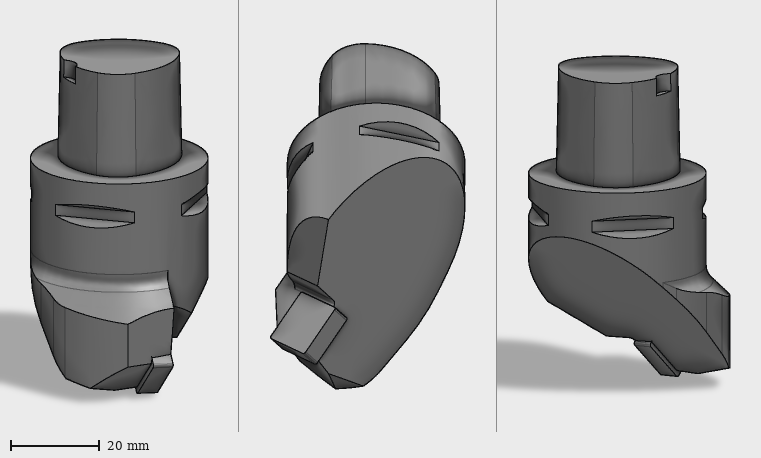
import cadquery as cq
import math

SHANK_HEIGHT = 24.0
LOBE_RADIUS = 14.7
FLAT_RADIUS = 13.2
LOBE_CENTRE = 5.65
SHANK_TAPER = 0.5
NOTCH_RADIUS = 3.65
NOTCH_HEIGHT = 4.0
NOTCH_INNER_Y = -11.15

FLANGE_RADIUS = 20.0
GROOVE_FLOOR_RADIUS = 17.7
GROOVE_MID_Z = -7.95
GROOVE_FLOOR_WIDTH = 2.5
GROOVE_MOUTH_WIDTH = 5.2

NECK_Z = -21.3
NECK_FILLET = 5.2
HEAD_REACH = 25.1
HEAD_FRONT_Y = -21.7
LEAVE_ANGLE = 25.5
LEAVE_LINE_END_X = -5.35
FRONT_START_X = 3.7
FRONT_END_X = 9.8
HEAD_ARC_JOINT = (13.9, -20.8)
HEAD_ARC_END_Y = -10.7
CONE_ANGLE = 45.0
BEVEL_SUM = -31.1
NOSE_DIFFERENCE = 66.0
RELIEF_POINTS = [(17.5, -10.1, -48.5), (19.6, -17.8, -46.4), (14.2, -20.6, -45.25)]

INSERT_SIDE = 12.8
INSERT_THICKNESS = 4.75
INSERT_CORNER = 0.6
INSERT_TIP = (18.2, 0.15, -50.55)
RAKE_ANGLE = 7.5
SIDE_ANGLE = 1.6

FLUTE_BACK = 13.8
FLUTE_KNEE = 7.65
FLUTE_OUTER = (-30.85, 19.2)
FLUTE_FILLET = 1.1

BIG = 111.5

rake_frame = cq.Plane(origin=INSERT_TIP, xDir=(1, 0, 1), normal=(0, 1, 0)).rotated(
    (-RAKE_ANGLE, SIDE_ANGLE, 0)
)


def half_space(point, normal):
    """Large block that lies on the side of a plane its normal points to."""
    plane = cq.Plane(origin=point, normal=normal)
    return cq.Workplane(plane).rect(2 * BIG, 2 * BIG).extrude(BIG)


def polar(radius, degrees):
    """Point in the XY plane at a radius and an angle from +X."""
    angle = math.radians(degrees)
    return cq.Vector(radius * math.cos(angle), radius * math.sin(angle))


def shank_section(z, inset):
    """Outline of six tangent arcs, with one lobe towards +Y, shrunk by inset."""
    lobe_excess = LOBE_RADIUS - FLAT_RADIUS
    side_centre = lobe_excess * (2 * LOBE_CENTRE - lobe_excess) / (LOBE_CENTRE - 2 * lobe_excess)
    lobe_arc = LOBE_RADIUS - LOBE_CENTRE - inset
    lobe_point = polar(LOBE_CENTRE, 90)
    joint = lobe_point + (lobe_point - polar(side_centre, -30)).normalized() * lobe_arc
    joint_angle = math.degrees(math.atan2(joint.y, joint.x))
    joint_radius = joint.Length
    start = polar(joint_radius, 180 - joint_angle)
    outline = cq.Workplane("XY", origin=(0, 0, z)).moveTo(start.x, start.y)
    for turn in (0, 120, 240):
        apex = polar(LOBE_RADIUS - inset, 90 + turn)
        lobe_end = polar(joint_radius, joint_angle + turn)
        side_middle = polar(FLAT_RADIUS - inset, 150 + turn)
        side_end = polar(joint_radius, 300 - joint_angle + turn)
        outline = (
            outline
            .threePointArc(apex.toTuple()[:2], lobe_end.toTuple()[:2])
            .threePointArc(side_middle.toTuple()[:2], side_end.toTuple()[:2])
        )
    return outline.close().val()


def make_shank():
    """Tapered shank with a round notch in its top edge on the -Y side."""
    sections = [shank_section(0, 0), shank_section(SHANK_HEIGHT, SHANK_TAPER)]
    shank = cq.Workplane(cq.Solid.makeLoft(sections, True))
    notch = (
        cq.Workplane("XY", origin=(0, 0, SHANK_HEIGHT - NOTCH_HEIGHT))
        .center(0, NOTCH_INNER_Y - NOTCH_RADIUS)
        .circle(NOTCH_RADIUS)
        .extrude(NOTCH_HEIGHT)
    )
    return shank.cut(notch)


def make_groove():
    """Straight tapered groove across the +X side of the flange."""
    depth = FLANGE_RADIUS - GROOVE_FLOOR_RADIUS
    flare = (GROOVE_MOUTH_WIDTH - GROOVE_FLOOR_WIDTH) / 2
    return (
        cq.Workplane("XZ", origin=(0, FLANGE_RADIUS, GROOVE_MID_Z))
        .moveTo(GROOVE_FLOOR_RADIUS, -GROOVE_FLOOR_WIDTH / 2)
        .lineTo(GROOVE_FLOOR_RADIUS, GROOVE_FLOOR_WIDTH / 2)
        .lineTo(GROOVE_FLOOR_RADIUS + 2 * depth, GROOVE_FLOOR_WIDTH / 2 + 2 * flare)
        .lineTo(GROOVE_FLOOR_RADIUS + 2 * depth, -GROOVE_FLOOR_WIDTH / 2 - 2 * flare)
        .close()
        .extrude(2 * FLANGE_RADIUS)
    )


def make_flange():
    """Flange cylinder, long enough to run past the bevel, with four grooves."""
    flange = cq.Workplane("XY").circle(FLANGE_RADIUS).extrude(-BIG)
    groove = make_groove()
    for angle in (45, 135, 225, 315):
        flange = flange.cut(groove.rotate((0, 0, 0), (0, 0, 1), angle))
    return flange


def make_head():
    """Side bulge of the head, below a filleted 45 degree cone."""
    leave_angle = math.radians(LEAVE_ANGLE)
    start_x = -FLANGE_RADIUS * math.sin(leave_angle)
    start_y = -FLANGE_RADIUS * math.cos(leave_angle)
    line_end_y = start_y - (LEAVE_LINE_END_X - start_x) * math.tan(leave_angle)
    inner_y = 3.7
    outline = (
        cq.Workplane("XY")
        .moveTo(start_x, start_y)
        .lineTo(LEAVE_LINE_END_X, line_end_y)
        .tangentArcPoint((FRONT_START_X, HEAD_FRONT_Y), relative=False)
        .lineTo(FRONT_END_X, HEAD_FRONT_Y)
        .tangentArcPoint(HEAD_ARC_JOINT, relative=False)
        .tangentArcPoint((HEAD_REACH, HEAD_ARC_END_Y), relative=False)
        .lineTo(HEAD_REACH, inner_y)
        .lineTo(0, inner_y)
        .close()
    )
    bulge = outline.extrude(-BIG)

    full = math.radians(CONE_ANGLE)
    half = full / 2
    mid_r = FLANGE_RADIUS + NECK_FILLET * (1 - math.cos(half))
    mid_z = NECK_Z - NECK_FILLET * math.sin(half)
    cone_r = FLANGE_RADIUS + NECK_FILLET * (1 - math.cos(full))
    cone_z = NECK_Z - NECK_FILLET * math.sin(full)
    envelope = (
        cq.Workplane("XZ")
        .moveTo(0, NECK_Z)
        .lineTo(FLANGE_RADIUS, NECK_Z)
        .threePointArc((mid_r, mid_z), (cone_r, cone_z))
        .lineTo(cone_r + BIG / math.tan(full), cone_z - BIG)
        .lineTo(0, cone_z - BIG)
        .close()
        .revolve(360, (0, 0, 0), (0, 1, 0))
    )
    rake_side = cq.Workplane(rake_frame).rect(2 * BIG, 2 * BIG).extrude(BIG)
    return bulge.intersect(envelope).cut(rake_side)


def make_flute():
    """Chip space in front of the rake face, cut straight up from the bevel."""
    side_plane = cq.Plane(
        origin=rake_frame.toWorldCoords((-BIG / 2, 0, 0)),
        xDir=rake_frame.yDir,
        normal=rake_frame.xDir,
    )
    profile = (
        cq.Workplane(side_plane)
        .polyline([
            (BIG, 0),
            (-FLUTE_BACK, 0),
            (-FLUTE_BACK, FLUTE_KNEE),
            FLUTE_OUTER,
            (BIG, FLUTE_OUTER[1]),
        ])
        .close()
        .extrude(BIG)
    )
    corner = cq.selectors.NearestToPointSelector(rake_frame.toWorldCoords((0, -FLUTE_BACK, 0)))
    return profile.edges(corner).fillet(FLUTE_FILLET)


def make_insert():
    """Square plate below the rake plane, with rounded corners."""
    return (
        cq.Workplane(rake_frame)
        .center(INSERT_SIDE / 2, -INSERT_SIDE / 2)
        .rect(INSERT_SIDE, INSERT_SIDE)
        .extrude(-INSERT_THICKNESS)
        .edges(cq.selectors.ParallelDirSelector(rake_frame.zDir))
        .fillet(INSERT_CORNER)
    )


def make_holder(insert):
    """Tool body with a seat that matches the insert."""
    relief_a, relief_b, relief_c = (cq.Vector(*p) for p in RELIEF_POINTS)
    relief_normal = (relief_b - relief_a).cross(relief_c - relief_a)
    if relief_normal.z > 0:
        relief_normal = -relief_normal
    return (
        make_flange()
        .union(make_head())
        .cut(half_space((BEVEL_SUM, 0, 0), (-1, 0, -1)))
        .cut(half_space((NOSE_DIFFERENCE, 0, 0), (1, 0, -1)))
        .cut(half_space(relief_a, relief_normal))
        .cut(make_flute())
        .union(make_shank())
        .cut(insert)
    )


insert = make_insert()
holder = make_holder(insert)
result = cq.Compound.makeCompound([holder.val(), insert.val()])